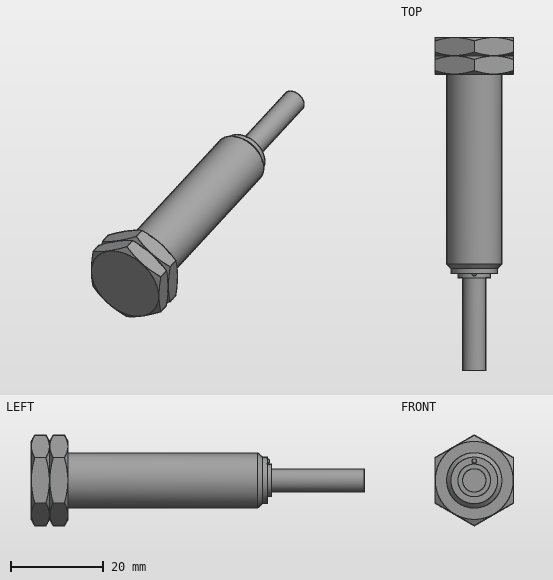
import cadquery as cq
import math

total_length = 72.0

across_flats = 17.0
across_corners = across_flats / math.cos(math.radians(30))
nut_stack_length = 8.0
nut_count = 2
nut_length = nut_stack_length / nut_count
nut_face_radius = 8.4
nut_chamfer_angle = 30.0

body_radius = 6.0
nose_radius = 5.05
collar_radius = 3.5
rod_radius = 2.5
rod_length = 20.0
collar_length = 0.9
nose_length = 1.1
body_chamfer_length = 1.0

dome_radius = 0.5
dome_height = 4.2

collar_front = rod_length
nose_front = collar_front + collar_length
body_front = nose_front + nose_length


def make_shaft():
    """Revolve the stepped half outline about the Y axis."""
    return (
        cq.Workplane("XY")
        .moveTo(0, 0)
        .lineTo(rod_radius, 0)
        .lineTo(rod_radius, collar_front)
        .lineTo(collar_radius, collar_front)
        .lineTo(collar_radius, nose_front)
        .lineTo(nose_radius, nose_front)
        .lineTo(nose_radius, body_front)
        .lineTo(body_radius, body_front + body_chamfer_length)
        .lineTo(body_radius, total_length)
        .lineTo(0, total_length)
        .close()
        .revolve(360, (0, 0, 0), (0, 1, 0))
    )


def make_nut(front):
    """Hexagon from front towards +Y, its corners trimmed by a cone at each end."""
    corner_radius = across_corners / 2
    chamfer_depth = (corner_radius - nut_face_radius) * math.tan(math.radians(nut_chamfer_angle))
    back = front + nut_length
    hexagon = (
        cq.Workplane("XZ", origin=(0, front, 0))
        .polygon(6, across_corners)
        .extrude(-nut_length)
        .rotate((0, 0, 0), (0, 1, 0), 30)
    )
    envelope = (
        cq.Workplane("XY")
        .moveTo(0, front)
        .lineTo(nut_face_radius, front)
        .lineTo(corner_radius, front + chamfer_depth)
        .lineTo(corner_radius, back - chamfer_depth)
        .lineTo(nut_face_radius, back)
        .lineTo(0, back)
        .close()
        .revolve(360, (0, 0, 0), (0, 1, 0))
    )
    return hexagon.intersect(envelope)


part = make_shaft()
for index in range(nut_count):
    part = part.union(make_nut(total_length - (index + 1) * nut_length))

dome = cq.Workplane("XY").sphere(dome_radius).translate((0, nose_front, dome_height))
result = part.union(dome)